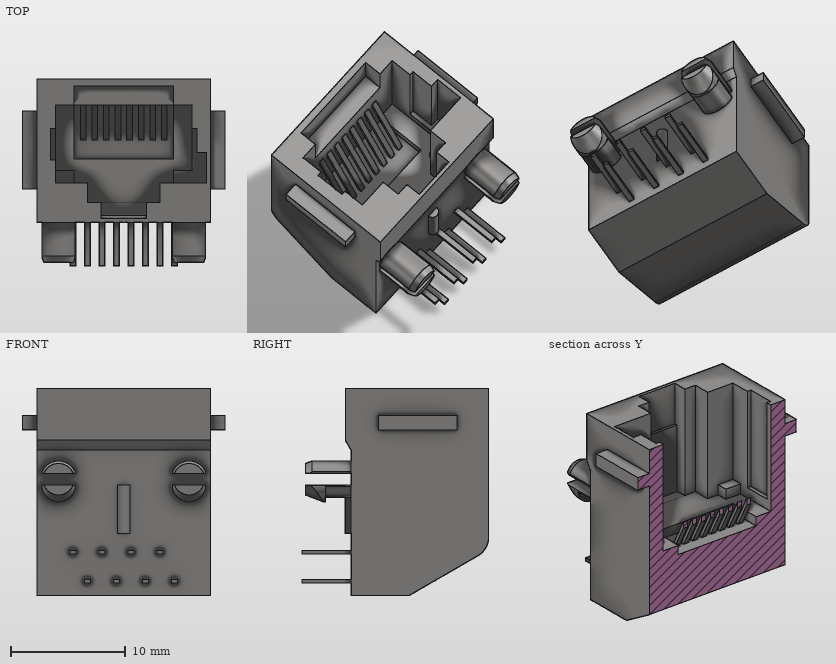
import cadquery as cq
import math


HOUSING_WIDTH = 15.24
HOUSING_DEPTH = 12.57
HOUSING_HEIGHT = 18.16
FRONT_SETBACK = 0.508
COLLAR_HEIGHT = 4.54
BEVEL_ANGLE = 30
BOTTOM_DEPTH = 5.08
BACK_CORNER_RADIUS = 1.9

EAR_PROJECTION = 1.27
EAR_THICKNESS = 1.27
EAR_FRONT = 2.92
EAR_LENGTH = 6.86
EAR_TOP_DEPTH = 2.36

MOUTH_DEPTH = 9.5
CAVITY_DEPTH = 10.5
CONTACT_WELL_DEPTH = 11.4
BACK_RECESS_DEPTH = 3.3
CAVITY_HALF_WIDTH = 6.0
CAVITY_BACK = 10.29
SHOULDER_FRONT = 3.47
SHOULDER_BACK = 4.55
WELL_HALF_WIDTH = 4.35
WELL_FRONT = 5.55
BACK_RECESS_BACK = 11.94
GROOVE_WIDTH = 0.4
GROOVE_BACK = 8.23
LEFT_GROOVE_FRONT = 5.49
KEYWAY_OUTER_X = 7.25
KEYWAY_BACK = 6.11
LATCH_HALF_WIDTH = 3.18
LATCH_FRONT = 1.745
LATCH_SLOT_HALF_WIDTH = 2.0
LATCH_SLOT_FRONT = 0.33
LATCH_LEDGE_DEPTH = 4.0
LATCH_LEDGE_BACK = 0.63
LATCH_FALL_ANGLE = 3.5

CONTACT_COUNT = 8
CONTACT_PITCH = 1.016
CONTACT_WIDTH = 0.5
CONTACT_THICKNESS = 0.33
CONTACT_TOP_DEPTH = 5.42
CONTACT_FRONT = 7.23

PIN_PITCH = 1.27
PIN_WIDTH = 0.5
PIN_THICKNESS = 0.33
PIN_PROJECTION = 3.81
LOWER_ROW_Z = 1.27
UPPER_ROW_Z = 3.81

PEG_X = 5.715
PEG_Z = 10.2
PEG_RADIUS = 1.6
PEG_WIDTH = 2.92
PEG_LENGTH = 4.0
PEG_TIP_RADIUS = 1.38
PEG_TIP_LENGTH = 0.57
PEG_SLOT = 1.02
BARB_START = 2.25
BARB_RADIUS = 1.48

RIB_WIDTH = 1.07
RIB_PROJECTION = 0.525
RIB_BOTTOM_Z = 5.45
RIB_HEIGHT = 4.25


def block(x_min, x_max, y_min, y_max, z_min, z_max):
    return cq.Workplane("XY").box(
        x_max - x_min, y_max - y_min, z_max - z_min, centered=False
    ).translate((x_min, y_min, z_min))


def cut_from_top(x_min, x_max, y_min, y_max, depth):
    return block(x_min, x_max, y_min, y_max, HOUSING_HEIGHT - depth, HOUSING_HEIGHT)


def side_profile(points, x_min, x_max):
    """Extrude a closed (Y, Z) outline from x_min to x_max."""
    return cq.Workplane("YZ", origin=(x_min, 0, 0)).polyline(points).close().extrude(x_max - x_min)


def forward_plane(y):
    """Plane at the given Y, facing -Y, with X right and Z up."""
    return cq.Workplane("XZ", origin=(0, y, 0))


def make_housing():
    slope = math.tan(math.radians(BEVEL_ANGLE))
    collar_bottom = HOUSING_HEIGHT - COLLAR_HEIGHT
    bottom_back = FRONT_SETBACK + BOTTOM_DEPTH
    back_corner_z = (HOUSING_DEPTH - bottom_back) * slope
    outline = [
        (FRONT_SETBACK, 0),
        (bottom_back, 0),
        (HOUSING_DEPTH, back_corner_z),
        (HOUSING_DEPTH, HOUSING_HEIGHT),
        (0, HOUSING_HEIGHT),
        (0, collar_bottom),
        (FRONT_SETBACK, collar_bottom - FRONT_SETBACK / slope),
    ]
    housing = side_profile(outline, -HOUSING_WIDTH / 2, HOUSING_WIDTH / 2)
    back_corner = cq.selectors.NearestToPointSelector((0, HOUSING_DEPTH, back_corner_z))
    return housing.edges(back_corner).fillet(BACK_CORNER_RADIUS)


def make_ears():
    half_span = HOUSING_WIDTH / 2 + EAR_PROJECTION
    top = HOUSING_HEIGHT - EAR_TOP_DEPTH
    return block(-half_span, half_span, EAR_FRONT, EAR_FRONT + EAR_LENGTH, top - EAR_THICKNESS, top)


def make_latch_slot():
    """Slot for the plug latch; its ledge and its floor both fall gently toward the front."""
    fall = math.tan(math.radians(LATCH_FALL_ANGLE))
    ledge_z = HOUSING_HEIGHT - LATCH_LEDGE_DEPTH
    floor_z = HOUSING_HEIGHT - CAVITY_DEPTH
    outline = [
        (LATCH_SLOT_FRONT, HOUSING_HEIGHT),
        (LATCH_SLOT_FRONT, ledge_z - (LATCH_LEDGE_BACK - LATCH_SLOT_FRONT) * fall),
        (LATCH_LEDGE_BACK, ledge_z),
        (LATCH_LEDGE_BACK, floor_z - (LATCH_FRONT - LATCH_LEDGE_BACK) * fall),
        (LATCH_FRONT, floor_z),
        (LATCH_FRONT, HOUSING_HEIGHT),
    ]
    return side_profile(outline, -LATCH_SLOT_HALF_WIDTH, LATCH_SLOT_HALF_WIDTH)


def make_plug_opening():
    groove_x = CAVITY_HALF_WIDTH + GROOVE_WIDTH
    mouth = cut_from_top(-CAVITY_HALF_WIDTH, CAVITY_HALF_WIDTH, SHOULDER_FRONT, CAVITY_BACK, MOUTH_DEPTH)
    cavity = cut_from_top(-CAVITY_HALF_WIDTH, CAVITY_HALF_WIDTH, SHOULDER_BACK, CAVITY_BACK, CAVITY_DEPTH)
    throat = cut_from_top(-WELL_HALF_WIDTH, WELL_HALF_WIDTH, SHOULDER_FRONT, SHOULDER_BACK, CAVITY_DEPTH)
    latch = cut_from_top(-LATCH_HALF_WIDTH, LATCH_HALF_WIDTH, LATCH_FRONT, SHOULDER_FRONT, CAVITY_DEPTH)
    well = cut_from_top(-WELL_HALF_WIDTH, WELL_HALF_WIDTH, WELL_FRONT, CAVITY_BACK, CONTACT_WELL_DEPTH)
    recess = cut_from_top(-WELL_HALF_WIDTH, WELL_HALF_WIDTH, CAVITY_BACK, BACK_RECESS_BACK, BACK_RECESS_DEPTH)
    left_groove = cut_from_top(-groove_x, -CAVITY_HALF_WIDTH, LEFT_GROOVE_FRONT, GROOVE_BACK, MOUTH_DEPTH)
    right_groove = cut_from_top(CAVITY_HALF_WIDTH, groove_x, KEYWAY_BACK, GROOVE_BACK, MOUTH_DEPTH)
    keyway = cut_from_top(CAVITY_HALF_WIDTH, KEYWAY_OUTER_X, SHOULDER_FRONT, KEYWAY_BACK, MOUTH_DEPTH)
    opening = mouth
    for pocket in (cavity, throat, latch, well, recess, left_groove, right_groove, keyway):
        opening = opening.union(pocket)
    return opening.union(make_latch_slot())


def make_contact(x):
    """Bar leaning out of the back wall down to the floor of the well."""
    top_z = HOUSING_HEIGHT - CONTACT_TOP_DEPTH
    floor_z = HOUSING_HEIGHT - CONTACT_WELL_DEPTH
    slope = (top_z - floor_z) / (CAVITY_BACK - CONTACT_FRONT)
    outline = [
        (CAVITY_BACK, top_z),
        (CONTACT_FRONT, floor_z),
        (CONTACT_FRONT + CONTACT_THICKNESS, floor_z),
        (CAVITY_BACK, top_z - CONTACT_THICKNESS * slope),
    ]
    return side_profile(outline, x - CONTACT_WIDTH / 2, x + CONTACT_WIDTH / 2)


def make_pin(x, z):
    return block(
        x - PIN_WIDTH / 2,
        x + PIN_WIDTH / 2,
        -PIN_PROJECTION,
        FRONT_SETBACK,
        z - PIN_THICKNESS / 2,
        z + PIN_THICKNESS / 2,
    )


def rod(x, z, radius, y_start, length):
    """Round rod reaching forward (-Y) from y_start."""
    return forward_plane(y_start).center(x, z).circle(radius).extrude(length)


def make_peg(x):
    """Split peg with flats on both sides, a barb under its lower half and one conical taper to its tip."""
    tip_y = FRONT_SETBACK - PEG_LENGTH
    slot_bottom = PEG_Z - PEG_SLOT / 2
    barb_y = FRONT_SETBACK - BARB_START
    barb_length = PEG_LENGTH - BARB_START
    taper_slope = (PEG_RADIUS - PEG_TIP_RADIUS) / PEG_TIP_LENGTH
    taper_radius = PEG_TIP_RADIUS + taper_slope * barb_length
    half_width = PEG_WIDTH / 2

    shank = rod(x, PEG_Z, PEG_RADIUS, FRONT_SETBACK, PEG_LENGTH)
    barb = rod(x, slot_bottom, BARB_RADIUS, barb_y, barb_length)
    taper = (
        forward_plane(barb_y)
        .center(x, PEG_Z)
        .circle(taper_radius)
        .workplane(offset=barb_length)
        .circle(PEG_TIP_RADIUS)
        .loft()
    )
    envelope = rod(x, PEG_Z, taper_radius, FRONT_SETBACK, BARB_START).union(taper)
    flats = block(
        x - half_width, x + half_width, tip_y, FRONT_SETBACK, PEG_Z - taper_radius, PEG_Z + taper_radius
    )
    slot = block(
        x - half_width, x + half_width, tip_y, FRONT_SETBACK, slot_bottom, slot_bottom + PEG_SLOT
    )
    above_slot = block(
        x - half_width, x + half_width, tip_y, FRONT_SETBACK, slot_bottom, PEG_Z + taper_radius
    )
    return shank.cut(slot).union(barb.cut(above_slot)).intersect(envelope).intersect(flats)


def make_rib():
    """Upright rib with a rounded front, on the front below the collar."""
    return (
        cq.Workplane("XY", origin=(0, FRONT_SETBACK, RIB_BOTTOM_Z))
        .moveTo(-RIB_WIDTH / 2, 0)
        .threePointArc((0, -RIB_PROJECTION), (RIB_WIDTH / 2, 0))
        .close()
        .extrude(RIB_HEIGHT)
    )


result = make_housing().union(make_ears()).union(make_rib()).cut(make_plug_opening())

for index in range(CONTACT_COUNT):
    offset = index - (CONTACT_COUNT - 1) / 2
    row_z = UPPER_ROW_Z if index % 2 == 0 else LOWER_ROW_Z
    result = result.union(make_contact(offset * CONTACT_PITCH))
    result = result.union(make_pin(offset * PIN_PITCH, row_z))

for peg_x in (-PEG_X, PEG_X):
    result = result.union(make_peg(peg_x))